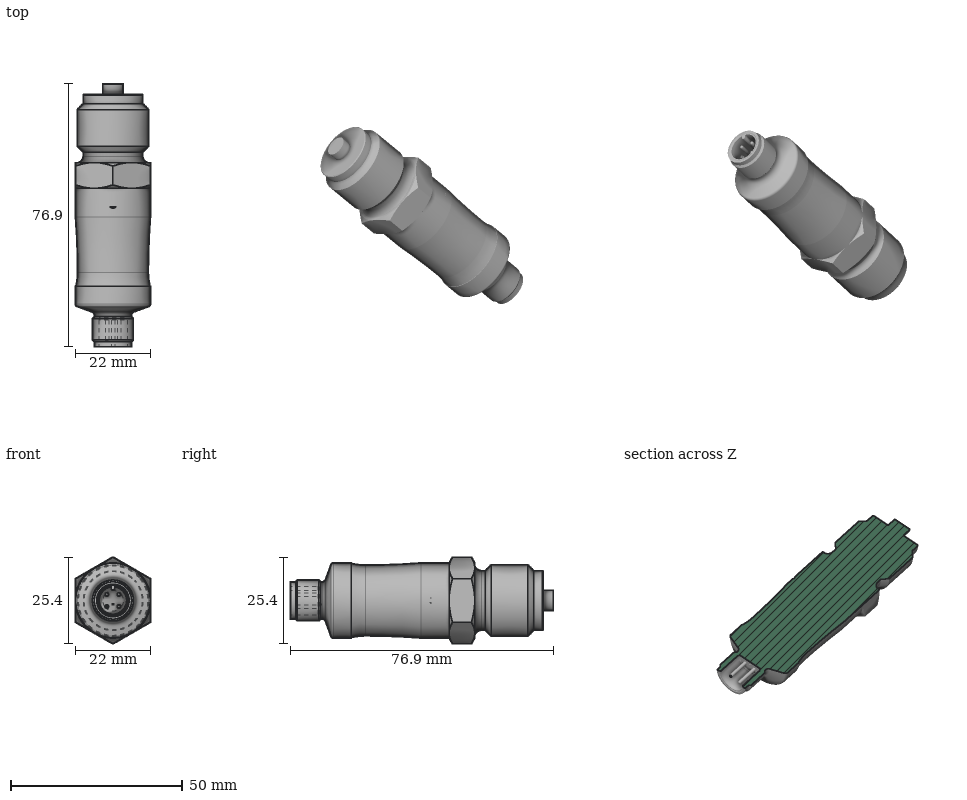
import cadquery as cq
import math


CONNECTOR_RADIUS = 12.0 / 2
CONNECTOR_RELIEF_RADIUS = 10.9 / 2
CONNECTOR_CHAMFER = CONNECTOR_RADIUS - CONNECTOR_RELIEF_RADIUS
RIM_LENGTH = 1.5
CONNECTOR_THREAD_END = 8.3
CONNECTOR_NECK_END = 9.3

RIM_RECESS_RADIUS = 9.5 / 2
LEDGE_OUTER_RADIUS = 9.0 / 2
LEDGE_DEPTH = 0.15
SOCKET_RADIUS = 8.4 / 2
SOCKET_FLOOR_RADIUS = 8.0 / 2
SOCKET_DEPTH = 8.5
FLOOR_STEP_HEIGHT = 0.5
PIN_RADIUS = 1.0 / 2
PIN_CIRCLE_RADIUS = 2.5
PIN_COUNT = 4
PIN_TIP_STATION = 1.5
PIN_TIP_FILLET = 0.4
KEY_WIDTH = 1.1
KEY_INNER_RADIUS = 3.0
VENT_RADIUS = 0.4 / 2
VENT_OFFSET = 1.1
VENT_DEPTH = 0.5

BODY_RADIUS = 22.0 / 2
CONE_FILLET_RADIUS = 1.0
CONE_ANGLE = math.radians(70)
SHOULDER_EDGE_RADIUS = 0.9
COLLAR_START = 12.6
COLLAR_END = 17.8
COLLAR_STEP = 0.15
WAIST_STATION = 21.9
WAIST_RADIUS = 20.75 / 2
BARREL_START = 38.1

HEX_START = 46.4
HEX_LENGTH = 7.5
HEX_END = HEX_START + HEX_LENGTH
HEX_ACROSS_FLATS = 2 * BODY_RADIUS
HEX_CORNER_RADIUS = HEX_ACROSS_FLATS / math.sqrt(3)
HEX_CHAMFER_ANGLE = math.radians(30)

PORT_RADIUS = 20.955 / 2
PORT_RELIEF_RADIUS = 17.5 / 2
PORT_CHAMFER = PORT_RADIUS - PORT_RELIEF_RADIUS
PORT_FILLET_RADIUS = 2.0
PORT_FILLET_END = 55.8
PORT_NECK_END = 57.0
PORT_SHOULDER = 71.12
PORT_END = 73.9
PORT_END_CHAMFER = 0.25
NOZZLE_RADIUS = 6.0 / 2
OVERALL_LENGTH = 76.9

MARKER_RADIUS = 2.0 / 2
MARKER_CHORD_STATION = 41.0
MARKER_RISE = 0.4
MARKER_DEPTH = 0.15
MARKER_TURNS = (0, -90)


def tangent_arc_middle(center, radius, start, end):
    """Middle point of the short arc of the given radius from start to end about center."""
    x = (start[0] + end[0]) / 2 - center[0]
    y = (start[1] + end[1]) / 2 - center[1]
    length = math.hypot(x, y)
    return (center[0] + x * radius / length, center[1] + y * radius / length)


def shallow_arc_middle(waist, end):
    """Middle point of the arc that leaves the waist parallel to the axis and reaches end."""
    rise = end[0] - waist[0]
    run = end[1] - waist[1]
    radius = (rise**2 + run**2) / (2 * rise)
    return tangent_arc_middle((waist[0] + radius, waist[1]), radius, waist, end)


def turned_body():
    """Revolved profile; each point is (radius, station)."""
    sine = math.sin(CONE_ANGLE)
    cosine = math.cos(CONE_ANGLE)

    neck_center = (CONNECTOR_RELIEF_RADIUS + CONE_FILLET_RADIUS, CONNECTOR_NECK_END)
    neck_start = (CONNECTOR_RELIEF_RADIUS, CONNECTOR_NECK_END)
    cone_start = (
        neck_center[0] - CONE_FILLET_RADIUS * cosine,
        neck_center[1] + CONE_FILLET_RADIUS * sine,
    )
    edge_center = (BODY_RADIUS - SHOULDER_EDGE_RADIUS, COLLAR_START)
    cone_end_radius = edge_center[0] + SHOULDER_EDGE_RADIUS * cosine
    cone_end = (cone_end_radius, cone_start[1] + (cone_end_radius - cone_start[0]) / math.tan(CONE_ANGLE))
    collar_start = (BODY_RADIUS, COLLAR_START)

    step = (BODY_RADIUS - COLLAR_STEP, COLLAR_END)
    waist = (WAIST_RADIUS, WAIST_STATION)
    barrel_start = (BODY_RADIUS, BARREL_START)

    port_center = (PORT_RELIEF_RADIUS + PORT_FILLET_RADIUS, PORT_FILLET_END)
    port_run = PORT_FILLET_END - HEX_END
    port_foot_radius = port_center[0] - math.sqrt(PORT_FILLET_RADIUS**2 - port_run**2)
    port_foot = (port_foot_radius, HEX_END)
    port_neck = (PORT_RELIEF_RADIUS, PORT_FILLET_END)

    profile = (
        cq.Workplane("XY")
        .moveTo(0, 0)
        .lineTo(CONNECTOR_RELIEF_RADIUS, 0)
        .lineTo(CONNECTOR_RELIEF_RADIUS, RIM_LENGTH)
        .lineTo(CONNECTOR_RADIUS, RIM_LENGTH + CONNECTOR_CHAMFER)
        .lineTo(CONNECTOR_RADIUS, CONNECTOR_THREAD_END)
        .lineTo(CONNECTOR_RELIEF_RADIUS, CONNECTOR_THREAD_END + CONNECTOR_CHAMFER)
        .lineTo(*neck_start)
        .threePointArc(
            tangent_arc_middle(neck_center, CONE_FILLET_RADIUS, neck_start, cone_start), cone_start
        )
        .lineTo(*cone_end)
        .threePointArc(
            tangent_arc_middle(edge_center, SHOULDER_EDGE_RADIUS, cone_end, collar_start), collar_start
        )
        .lineTo(BODY_RADIUS, COLLAR_END)
        .lineTo(*step)
        .threePointArc(shallow_arc_middle(waist, step), waist)
        .threePointArc(shallow_arc_middle(waist, barrel_start), barrel_start)
        .lineTo(BODY_RADIUS, HEX_END)
        .lineTo(*port_foot)
        .threePointArc(tangent_arc_middle(port_center, PORT_FILLET_RADIUS, port_foot, port_neck), port_neck)
        .lineTo(PORT_RELIEF_RADIUS, PORT_NECK_END)
        .lineTo(PORT_RADIUS, PORT_NECK_END + PORT_CHAMFER)
        .lineTo(PORT_RADIUS, PORT_SHOULDER - PORT_CHAMFER)
        .lineTo(PORT_RELIEF_RADIUS, PORT_SHOULDER)
        .lineTo(PORT_RELIEF_RADIUS, PORT_END - PORT_END_CHAMFER)
        .lineTo(PORT_RELIEF_RADIUS - PORT_END_CHAMFER, PORT_END)
        .lineTo(NOZZLE_RADIUS, PORT_END)
        .lineTo(NOZZLE_RADIUS, OVERALL_LENGTH)
        .lineTo(0, OVERALL_LENGTH)
        .close()
    )
    return profile.revolve(360, (0, 0, 0), (0, 1, 0))


def rod(radius, start, end, x=0.0, z=0.0):
    """Cylinder parallel to Y between two stations."""
    base = cq.Vector(x, start, z)
    return cq.Workplane(cq.Solid.makeCylinder(radius, end - start, base, cq.Vector(0, 1, 0)))


def hexagon():
    """Hexagon with corners on the Z axis, chamfered conically at both ends."""
    prism = (
        cq.Workplane("XZ", origin=(0, HEX_START, 0))
        .polygon(6, 2 * HEX_CORNER_RADIUS)
        .extrude(-HEX_LENGTH)
        .rotate((0, 0, 0), (0, 1, 0), 30)
    )
    chamfer_length = (HEX_CORNER_RADIUS - BODY_RADIUS) * math.tan(HEX_CHAMFER_ANGLE)
    envelope = (
        cq.Workplane("XY")
        .moveTo(0, HEX_START)
        .lineTo(BODY_RADIUS, HEX_START)
        .lineTo(HEX_CORNER_RADIUS, HEX_START + chamfer_length)
        .lineTo(HEX_CORNER_RADIUS, HEX_END - chamfer_length)
        .lineTo(BODY_RADIUS, HEX_END)
        .lineTo(0, HEX_END)
        .close()
        .revolve(360, (0, 0, 0), (0, 1, 0))
    )
    return prism.intersect(envelope)


def socket_cavity():
    """Connector bore with a bevelled rim, a ledge, a stepped floor and the small vent in it."""
    bore = (
        cq.Workplane("XY")
        .lineTo(RIM_RECESS_RADIUS, 0)
        .lineTo(LEDGE_OUTER_RADIUS, LEDGE_DEPTH)
        .lineTo(SOCKET_RADIUS, LEDGE_DEPTH)
        .lineTo(SOCKET_RADIUS, SOCKET_DEPTH - FLOOR_STEP_HEIGHT)
        .lineTo(SOCKET_FLOOR_RADIUS, SOCKET_DEPTH - FLOOR_STEP_HEIGHT)
        .lineTo(SOCKET_FLOOR_RADIUS, SOCKET_DEPTH)
        .lineTo(0, SOCKET_DEPTH)
        .close()
        .revolve(360, (0, 0, 0), (0, 1, 0))
    )
    vent = rod(VENT_RADIUS, SOCKET_DEPTH, SOCKET_DEPTH + VENT_DEPTH, z=-VENT_OFFSET)
    return bore.union(vent)


def contact_pins():
    """Pins on a square pattern, rooted in the socket floor."""
    pins = cq.Workplane()
    for index in range(PIN_COUNT):
        angle = 2 * math.pi * (index + 0.5) / PIN_COUNT
        pin = rod(
            PIN_RADIUS,
            PIN_TIP_STATION,
            SOCKET_DEPTH + PIN_RADIUS,
            PIN_CIRCLE_RADIUS * math.cos(angle),
            PIN_CIRCLE_RADIUS * math.sin(angle),
        )
        pins = pins.add(pin.faces("<Y").fillet(PIN_TIP_FILLET))
    return pins.combine()


def coding_key():
    """Round-nosed rib along the top of the socket bore."""
    nose_radius = KEY_WIDTH / 2
    nose_center = KEY_INNER_RADIUS + nose_radius
    wall_radius = LEDGE_OUTER_RADIUS
    length = SOCKET_DEPTH - LEDGE_DEPTH
    return (
        cq.Workplane("XZ", origin=(0, LEDGE_DEPTH, 0))
        .moveTo(-nose_radius, wall_radius)
        .lineTo(-nose_radius, nose_center)
        .threePointArc((0, KEY_INNER_RADIUS), (nose_radius, nose_center))
        .lineTo(nose_radius, wall_radius)
        .close()
        .extrude(-length)
    )


def marker_pocket():
    """Cutter for a pocket on the +Z side: a chord with its arc bulging toward the connector."""
    half_chord = math.sqrt(MARKER_RADIUS**2 - (MARKER_RADIUS - MARKER_RISE) ** 2)
    return (
        cq.Workplane("XY", origin=(0, MARKER_CHORD_STATION, BODY_RADIUS - MARKER_DEPTH))
        .moveTo(-half_chord, 0)
        .threePointArc((0, -MARKER_RISE), (half_chord, 0))
        .close()
        .extrude(2 * MARKER_DEPTH)
    )


result = turned_body().union(hexagon()).cut(socket_cavity())
result = result.union(contact_pins()).union(coding_key())
for turn in MARKER_TURNS:
    result = result.cut(marker_pocket().rotate((0, 0, 0), (0, 1, 0), turn))